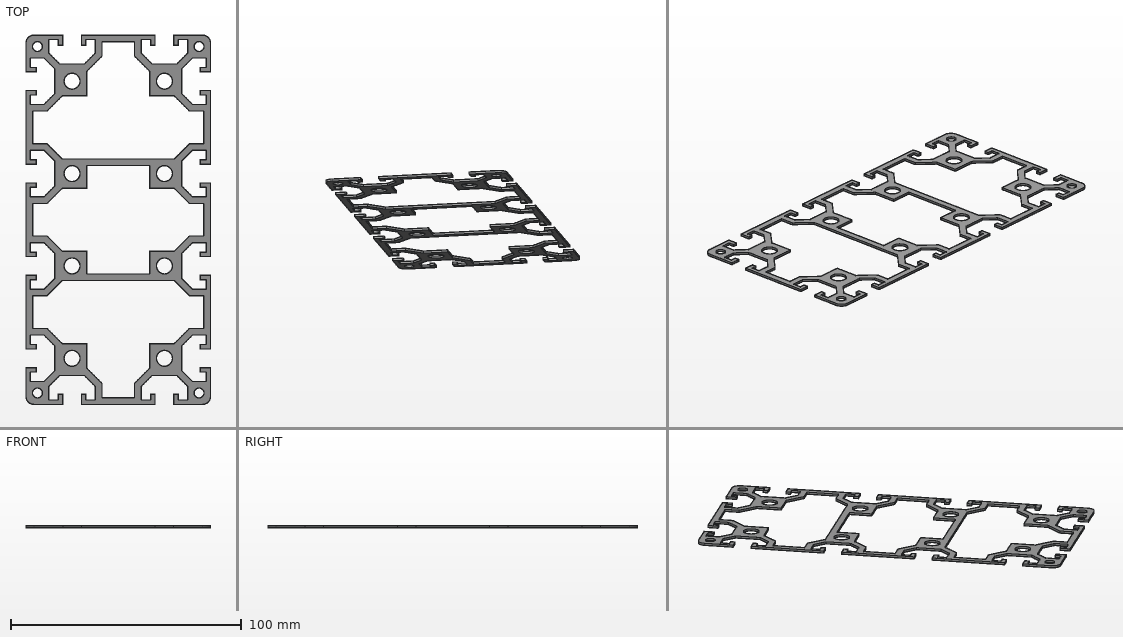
import cadquery as cq
import math

module = 40.0
thickness = 1.0
corner_radius = 3.5

slot_opening = 8.0
slot_inner_width = 20.0
slot_depth = 12.5
lip_thickness = 2.0
lip_depth = 4.5

wall = 3.0
core_bore = 6.8
corner_bore = 4.2
corner_bore_inset = 5.0

width = 2 * module
length = 4 * module
half_width = width / 2
half_length = length / 2
core_x = half_width - module / 2
outer_core_y = half_length - module / 2
inner_core_y = outer_core_y - module
core_columns = (-core_x, core_x)
core_rows = (-outer_core_y, -inner_core_y, inner_core_y, outer_core_y)

core_half = core_bore / 2 + wall

strut_offset = wall * math.sqrt(2)
slot_half = slot_inner_width / 2
flank_start_depth = module / 2 - slot_half - strut_offset / 2
floor_half = slot_half - (slot_depth - flank_start_depth)

flank_sum = slot_half + flank_start_depth + strut_offset
cavity_side = slot_half + wall
cavity_flank_depth = flank_sum - cavity_side
core_flank_depth = flank_sum - core_half


def prism(points):
    """Extrude a closed outline through the full thickness."""
    return cq.Workplane("XY").polyline(points).close().extrude(thickness)


def mirrored_in_x(points):
    """Complete an outline from its +X half, listed from one end to the other."""
    return points + [(-x, y) for x, y in reversed(points)]


def make_slot():
    """T-slot opening toward +Y, with its mouth centred on the origin."""
    mouth_half = slot_opening / 2
    lip_half = mouth_half + lip_thickness
    return prism(mirrored_in_x([
        (mouth_half, 0),
        (mouth_half, -lip_depth),
        (lip_half, -lip_depth),
        (lip_half, -lip_thickness),
        (slot_half, -lip_thickness),
        (slot_half, -flank_start_depth),
        (floor_half, -slot_depth),
    ]))


def make_end_cavity():
    """Cavity at the +Y end, between the end wall and the first cross web."""
    return prism(mirrored_in_x([
        (core_x - cavity_side, half_length - wall),
        (core_x - cavity_side, half_length - cavity_flank_depth),
        (core_x - core_half, half_length - core_flank_depth),
        (core_x - core_half, outer_core_y - core_half),
        (half_width - core_flank_depth, outer_core_y - core_half),
        (half_width - cavity_flank_depth, outer_core_y - cavity_side),
        (half_width - wall, outer_core_y - cavity_side),
        (half_width - wall, inner_core_y + cavity_side),
        (half_width - cavity_flank_depth, inner_core_y + cavity_side),
        (half_width - core_flank_depth, inner_core_y + core_half),
    ]))


def make_middle_cavity():
    """Cavity between the two cross webs."""
    upper_right = [
        (core_x - core_half, inner_core_y + core_half - wall),
        (core_x - core_half, inner_core_y - core_half),
        (half_width - core_flank_depth, inner_core_y - core_half),
        (half_width - cavity_flank_depth, inner_core_y - cavity_side),
        (half_width - wall, inner_core_y - cavity_side),
    ]
    lower_right = [(x, -y) for x, y in reversed(upper_right)]
    return prism(mirrored_in_x(upper_right + lower_right))


def cut_slots(body):
    slot = make_slot()
    for x in core_columns:
        top_slot = slot.translate((x, half_length, 0))
        body = body.cut(top_slot).cut(top_slot.mirror("XZ"))
    right_slot = slot.rotate((0, 0, 0), (0, 0, 1), -90)
    for y in core_rows:
        side_slot = right_slot.translate((half_width, y, 0))
        body = body.cut(side_slot).cut(side_slot.mirror("YZ"))
    return body


def cut_cavities(body):
    end_cavity = make_end_cavity()
    return body.cut(end_cavity).cut(end_cavity.mirror("XZ")).cut(make_middle_cavity())


def cut_bores(body, centres, diameter):
    bores = cq.Workplane("XY").pushPoints(centres).circle(diameter / 2).extrude(thickness)
    return body.cut(bores)


core_centres = [(x, y) for x in core_columns for y in core_rows]
corner_centres = [
    (x_side * (half_width - corner_bore_inset), y_side * (half_length - corner_bore_inset))
    for x_side in (-1, 1)
    for y_side in (-1, 1)
]

blank = cq.Workplane("XY").rect(width, length).extrude(thickness).edges("|Z").fillet(corner_radius)
profile = cut_cavities(cut_slots(blank))
profile = cut_bores(profile, core_centres, core_bore)
result = cut_bores(profile, corner_centres, corner_bore)